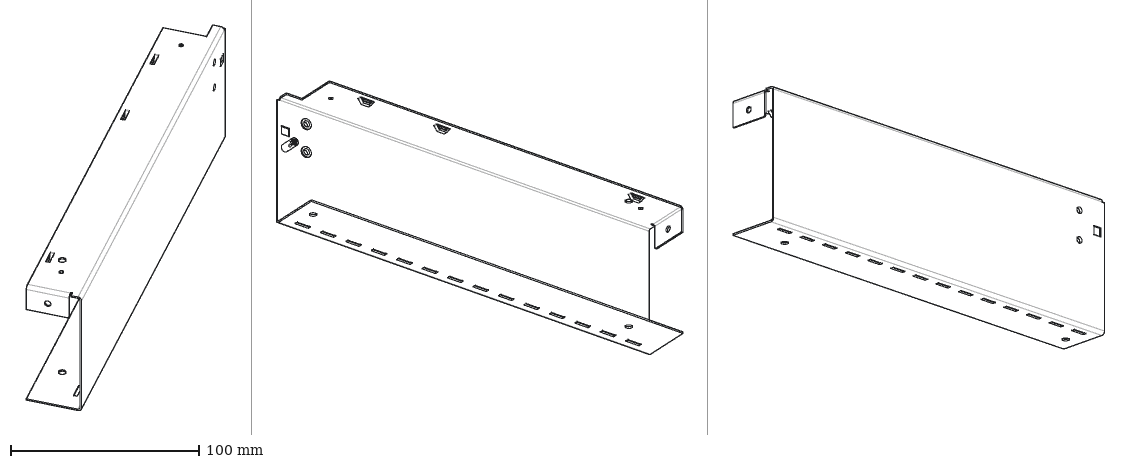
import cadquery as cq
import math

width = 31.0
length = 246.3
height = 76.8
sheet = 1.0
inner_bend = 1.0
outer_bend = inner_bend + sheet
web_inner_x = width - sheet
through = 4 * sheet

flange_notch_width = 24.4
flange_notch_length = 12.0
bend_setback = 1.6

tab_width = 24.0
tab_height = 15.6
tab_corner_radius = 1.0
tab_hole_diameter = 3.5
tab_hole_drop = 8.7
relief_width = 1.0
relief_length = outer_bend + 0.6

mount_hole_diameter = 4.0
mount_hole_x = 11.1
mount_hole_ys = (27.7, 236.8)
pilot_hole_diameter = 2.4
pilot_hole_x = 13.9
pilot_hole_ys = (17.7, 222.9)

slot_count = 14
slot_pitch = 16.85
slot_length = 8.8
slot_width = 2.1
slot_x = 24.0
first_slot_y = 15.0

bridge_ys = (27.8, 156.6, 206.8)
bridge_x = 4.2
bridge_width = 2.2
bridge_length = 10.8
ramp_top_spacing = 8.2
ramp_bottom_spacing = 3.8
bridge_drop = 2.9
bridge_bend_radius = 0.5

collar_hole_y = 227.6
collar_hole_zs = (48.8, 65.7)
collar_inner_diameter = 3.6
collar_outer_diameter = 6.2
collar_height = 0.8
window_y = 241.0
window_z = 57.3
window_width = 5.2
window_height = 5.0

standoff_y = 241.6
standoff_z = 46.8
standoff_diameter = 4.5
standoff_length = 9.2
thread_depth = 4.8
thread_pitch = 0.5
thread_major_diameter = 3.2
thread_minor_diameter = 2.6


def channel():
    """C-section swept along Y, with rounded bends."""
    outer = cq.Workplane("XZ").rect(2 * width, height).extrude(-length)
    outer = outer.edges("|Y and >X").fillet(outer_bend)
    inner = cq.Workplane("XZ").rect(2 * web_inner_x, height - 2 * sheet).extrude(-length)
    inner = inner.edges("|Y and >X").fillet(inner_bend)
    left_half = cq.Workplane("XY").box(width, length, height, centered=(False, False, True))
    left_half = left_half.translate((-width, 0, 0))
    return outer.cut(inner).cut(left_half).translate((0, 0, height / 2))


def far_end_cuts():
    """Shortens the top flange at the far end, and the bend beside it a little."""
    notch = cq.Workplane("XY").box(
        flange_notch_width, flange_notch_length, outer_bend, centered=False
    ).translate((0, length - flange_notch_length, height - outer_bend))
    setback = cq.Workplane("XY").box(width, bend_setback, outer_bend, centered=False).translate(
        (0, length - bend_setback, height - outer_bend)
    )
    return notch.union(setback)


def tab():
    """End tab: an L-section along X whose upper leg runs into the top flange."""
    leg = outer_bend + sheet
    outer = cq.Workplane("XY").box(tab_width, leg, tab_height, centered=False)
    outer = outer.edges("|X and <Y and >Z").fillet(outer_bend)
    inner = (
        cq.Workplane("XY").box(tab_width, leg, tab_height - sheet, centered=False)
        .edges("|X and <Y and >Z").fillet(inner_bend)
        .translate((0, sheet, 0))
    )
    bent = outer.cut(inner).edges("|Y and >X and <Z").fillet(tab_corner_radius)
    hole = (
        cq.Workplane("XZ").center(tab_width / 2, tab_height - tab_hole_drop)
        .circle(tab_hole_diameter / 2).extrude(-through)
    )
    return bent.cut(hole).translate((0, 0, height - tab_height))


def tab_clearance():
    """Removes the square flange end where the tab bends, plus a relief slit beside the tab."""
    bend_zone = cq.Workplane("XY").box(tab_width, outer_bend, outer_bend, centered=False)
    relief = cq.Workplane("XY").box(relief_width, relief_length, outer_bend, centered=False)
    cutter = bend_zone.union(relief.translate((tab_width, 0, 0)))
    return cutter.translate((0, 0, height - outer_bend))


def vertical_holes(diameter, points, z):
    """Round cutters along Z, centred on a sheet whose middle is at height z."""
    return (
        cq.Workplane("XY", origin=(0, 0, z - through / 2)).pushPoints(points)
        .circle(diameter / 2).extrude(through)
    )


def bottom_slots():
    points = [(slot_x, first_slot_y + i * slot_pitch) for i in range(slot_count)]
    return (
        cq.Workplane("XY", origin=(0, 0, -sheet)).pushPoints(points)
        .rect(slot_width, slot_length).extrude(through)
    )


def bridge(y):
    """Strip of sheet pushed down between two slits, with a ramp at each end and rounded bends."""
    end = bridge_length / 2
    ramp_top = ramp_top_spacing / 2
    ramp_bottom = ramp_bottom_spacing / 2
    ramp_angle = math.atan2(bridge_drop, ramp_top - ramp_bottom)
    underside_shift = sheet * math.tan(ramp_angle / 2)

    def right_half(shift, z):
        return [(ramp_bottom + shift, z - bridge_drop), (ramp_top + shift, z), (end, z)]

    def full_path(shift, z):
        half = right_half(shift, z)
        return [(-along, level) for along, level in reversed(half)] + half

    outline = full_path(0, 0) + full_path(underside_shift, -sheet)[::-1]
    strip = (
        cq.Workplane("YZ", origin=(bridge_x - bridge_width / 2, y, height))
        .polyline(outline).close().extrude(bridge_width)
    )
    return strip.edges("|X and (not <Y) and (not >Y)").fillet(bridge_bend_radius)


def bridge_opening(y):
    return cq.Workplane("XY").box(bridge_width, bridge_length, through).translate((bridge_x, y, height))


def web_cylinder(y, z, diameter, start_x, end_x):
    """Cylinder along X."""
    return (
        cq.Workplane("YZ", origin=(start_x, y, z)).circle(diameter / 2).extrude(end_x - start_x)
    )


def make_housing():
    body = channel().cut(far_end_cuts()).cut(tab_clearance()).union(tab())
    bottom_z = sheet / 2
    top_z = height - sheet / 2
    mount_points = [(mount_hole_x, y) for y in mount_hole_ys]
    pilot_points = [(pilot_hole_x, y) for y in pilot_hole_ys]
    body = body.cut(vertical_holes(mount_hole_diameter, mount_points, bottom_z))
    body = body.cut(vertical_holes(mount_hole_diameter, mount_points[:1], top_z))
    body = body.cut(vertical_holes(pilot_hole_diameter, pilot_points, top_z))
    body = body.cut(bottom_slots())
    for y in bridge_ys:
        body = body.cut(bridge_opening(y)).union(bridge(y))
    for z in collar_hole_zs:
        collar_x = web_inner_x - collar_height
        body = body.union(web_cylinder(collar_hole_y, z, collar_outer_diameter, collar_x, width))
        body = body.cut(web_cylinder(collar_hole_y, z, collar_inner_diameter, collar_x, width))
    window = cq.Workplane("XY").box(through, window_width, window_height)
    return body.cut(window.translate((width, window_y, window_z)))


def make_standoff():
    """Round post with a blind threaded hole, its thread modelled as V-shaped rings."""
    major = thread_major_diameter / 2
    minor = thread_minor_diameter / 2
    turns = math.floor(thread_depth / thread_pitch)
    outline = [(0, 0), (0, minor)]
    for i in range(turns):
        start = i * thread_pitch
        outline += [(start + thread_pitch / 2, major), (start + thread_pitch, minor)]
    outline.append((turns * thread_pitch, 0))
    hole = cq.Workplane("XY").polyline(outline).close().revolve(360, (0, 0), (1, 0))
    post = cq.Workplane("YZ").circle(standoff_diameter / 2).extrude(standoff_length)
    return post.cut(hole).translate((web_inner_x - standoff_length, standoff_y, standoff_z))


housing = make_housing()
standoff = make_standoff()
result = cq.Compound.makeCompound([housing.val(), standoff.val()])